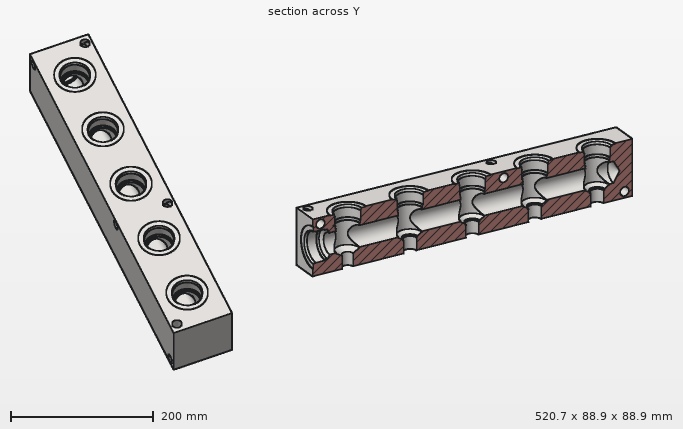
import cadquery as cq
import math

LENGTH = 520.7
WIDTH = 88.9
HEIGHT = 88.9

MOUNT_DIA = 13.49
MOUNT_EDGE = 10.32
MOUNT_END = 12.7
MOUNT_MIDDLE = 311.15
MOUNT_POINTS = [
    (MOUNT_END - LENGTH / 2, WIDTH / 2 - MOUNT_EDGE),
    (MOUNT_MIDDLE - LENGTH / 2, WIDTH / 2 - MOUNT_EDGE),
    (LENGTH / 2 - MOUNT_END, MOUNT_EDGE - WIDTH / 2),
]

SPOTFACE_DEPTH = 0.8
SEAL_LENGTH = 4.1
SEAL_ANGLE = 12.0
THREAD_DEPTH = 19.8
TAP_DEPTH = 23.8
DRILL_POINT_ANGLE = 30.0

PORT_COUNT = 5
PORT_PITCH = 101.6
TOP_SPOTFACE_DIA = 58.57
TOP_SEAL_DIA = 41.76
TOP_THREAD_DIA = 41.28
TOP_TAP_DIA = 39.22

END_SPOTFACE_DIA = 65.13
END_SEAL_DIA = 48.06
END_THREAD_DIA = 47.62
END_TAP_DIA = 45.57

BORE_DIA = 38.1
BORE_DEPTH = 62.0

FIRST_OUTLET_DIA = 17.2
OUTLET_DIA = 20.4
PILOT_DIA = 23.3
PILOT_DEPTH = 68.0

GALLERY_DIA = 33.0
GALLERY_DEPTH = 490.0


def drill_point_length(diameter):
    return diameter / 2 * math.tan(math.radians(DRILL_POINT_ANGLE))


def revolve_about_z(profile):
    """Revolve a closed (radius, z) profile about the Z axis."""
    return cq.Workplane("XZ").polyline(profile).close().revolve(360, (0, 0), (0, 1))


def port_cutter(spotface_dia, seal_dia, thread_dia, tap_dia):
    """Port cutter opening at the origin and running down -Z to a drill point."""
    seal_bottom = SPOTFACE_DEPTH + SEAL_LENGTH
    mouth_radius = seal_dia / 2 + SEAL_LENGTH * math.tan(math.radians(SEAL_ANGLE))
    return revolve_about_z([
        (0, 0),
        (spotface_dia / 2, 0),
        (spotface_dia / 2, -SPOTFACE_DEPTH),
        (mouth_radius, -SPOTFACE_DEPTH),
        (seal_dia / 2, -seal_bottom),
        (thread_dia / 2, -seal_bottom),
        (thread_dia / 2, -THREAD_DEPTH),
        (tap_dia / 2, -THREAD_DEPTH),
        (tap_dia / 2, -TAP_DEPTH),
        (0, -TAP_DEPTH - drill_point_length(tap_dia)),
    ])


def drill_cutter(diameter, depth):
    """Drill cutter down -Z from the origin; depth is to the full diameter."""
    return revolve_about_z([
        (0, 0),
        (diameter / 2, 0),
        (diameter / 2, -depth),
        (0, -depth - drill_point_length(diameter)),
    ])


def through_holes(plane, points, diameter, thickness):
    """Cylinders that pass right through the block, normal to the given plane."""
    return cq.Workplane(plane).pushPoints(points).circle(diameter / 2).extrude(thickness / 2, both=True)


def cut_mounting_holes(body):
    body = body.cut(through_holes("XY", MOUNT_POINTS, MOUNT_DIA, HEIGHT))
    return body.cut(through_holes("XZ", MOUNT_POINTS, MOUNT_DIA, WIDTH))


def cut_top_ports(body):
    port = port_cutter(TOP_SPOTFACE_DIA, TOP_SEAL_DIA, TOP_THREAD_DIA, TOP_TAP_DIA)
    port_and_bore = port.union(drill_cutter(BORE_DIA, BORE_DEPTH))
    pilot = drill_cutter(PILOT_DIA, PILOT_DEPTH)
    for index in range(PORT_COUNT):
        x = (index - (PORT_COUNT - 1) / 2) * PORT_PITCH
        port_mouth = (x, 0, HEIGHT / 2)
        body = body.cut(port_and_bore.translate(port_mouth))
        if index == 0:
            outlet_dia = FIRST_OUTLET_DIA
        else:
            outlet_dia = OUTLET_DIA
            body = body.cut(pilot.translate(port_mouth))
        body = body.cut(through_holes("XY", [(x, 0)], outlet_dia, HEIGHT))
    return body


def cut_end_port_and_gallery(body):
    port = port_cutter(END_SPOTFACE_DIA, END_SEAL_DIA, END_THREAD_DIA, END_TAP_DIA)
    gallery = drill_cutter(GALLERY_DIA, GALLERY_DEPTH)
    for cutter in (port, gallery):
        along_x = cutter.rotate((0, 0, 0), (0, 1, 0), -90)
        body = body.cut(along_x.translate((-LENGTH / 2, 0, 0)))
    return body


result = cq.Workplane("XY").box(LENGTH, WIDTH, HEIGHT)
result = cut_mounting_holes(result)
result = cut_top_ports(result)
result = cut_end_port_and_gallery(result)